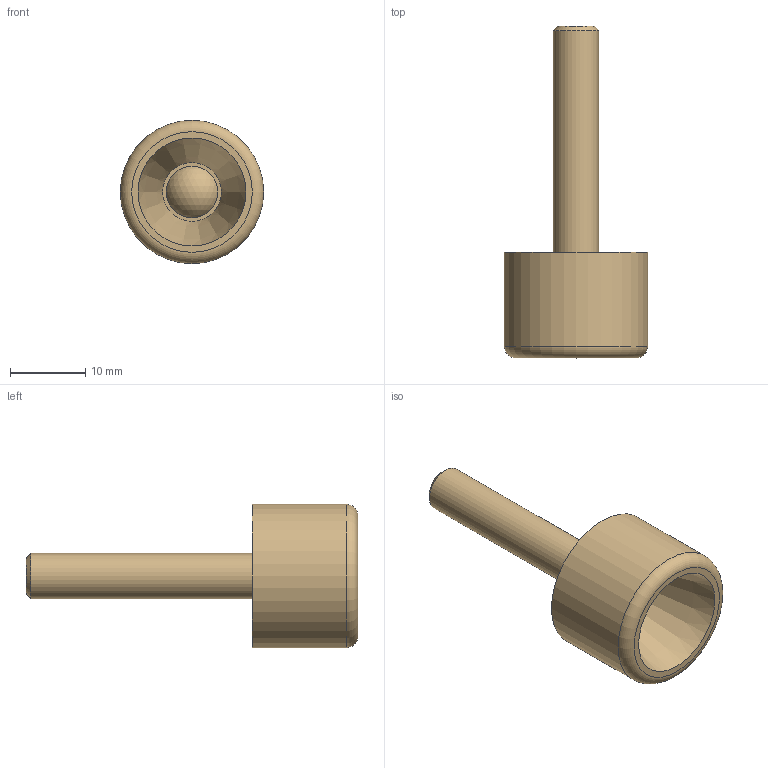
import cadquery as cq

head_diameter = 19.0
head_length = 14.0
rim_fillet = 1.5

recess_mouth_diameter = 14.3
recess_floor_diameter = 7.8
recess_depth = 12.4
ball_diameter = 7.5
ball_center_below_floor = 1.5

shank_diameter = 6.0
shank_length = 30.0
shank_chamfer = 0.6


def make_body():
    """Revolve the stepped half-section (radius, y) about the Y axis.

    The head spans y = 0 (rim) to y = head_length; the shank continues along +Y.
    """
    head_radius = head_diameter / 2
    shank_radius = shank_diameter / 2
    shank_end = head_length + shank_length
    half_section = (
        cq.Workplane("XY")
        .moveTo(0, recess_depth)
        .lineTo(recess_floor_diameter / 2, recess_depth)
        .lineTo(recess_mouth_diameter / 2, 0)
        .lineTo(head_radius - rim_fillet, 0)
        .radiusArc((head_radius, rim_fillet), -rim_fillet)
        .lineTo(head_radius, head_length)
        .lineTo(shank_radius, head_length)
        .lineTo(shank_radius, shank_end - shank_chamfer)
        .lineTo(shank_radius - shank_chamfer, shank_end)
        .lineTo(0, shank_end)
        .close()
    )
    return half_section.revolve(360, (0, 0, 0), (0, 1, 0))


def make_ball_nose():
    """Cap of a ball facing -Y, cut off where it meets the recess floor."""
    center_y = recess_depth + ball_center_below_floor
    ball = cq.Workplane("XY").sphere(ball_diameter / 2).translate((0, center_y, 0))
    below_floor = (
        cq.Workplane("XY")
        .box(ball_diameter, ball_diameter, ball_diameter, centered=(True, False, True))
        .translate((0, recess_depth, 0))
    )
    return ball.cut(below_floor)


result = make_body().union(make_ball_nose())